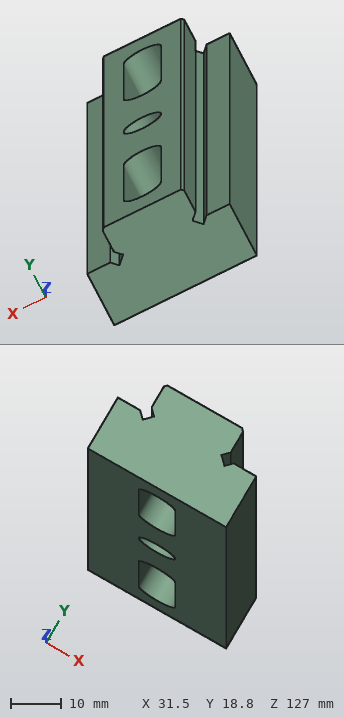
import cadquery as cq

length = 127.0
base_width = 31.5
total_depth = 18.8
tongue_width = 18.0
tongue_height = 7.0
tongue_chamfer = 0.5
groove_width = 2.3
groove_depth = 0.8
hole_diameter = 8.3
slot_length = 33.8
slot_offset = 37.6

shoulder_y = total_depth - tongue_height
cut_depth = 2 * total_depth


def make_rail():
    """T-shaped bar, centred on X and Z, with its flat face at Y = 0."""
    base = cq.Workplane("XY").box(base_width, shoulder_y, length, centered=(True, False, True))
    tongue = (
        cq.Workplane("XY")
        .box(tongue_width, total_depth, length, centered=(True, False, True))
        .faces(">Y")
        .edges("|Z")
        .chamfer(tongue_chamfer)
    )
    return base.union(tongue)


def make_corner_groove(side):
    """Square-bottomed relief along the inner corner on the given side (-1 or 1)."""
    return (
        cq.Workplane("XY")
        .box(groove_width, 2 * groove_depth + groove_width, length)
        .translate((0, groove_width / 2, 0))
        .rotate((0, 0, 0), (0, 0, 1), -side * 45)
        .translate((side * tongue_width / 2, shoulder_y, 0))
    )


def make_face_cuts():
    """Central round hole and a long slot above and below it, all through Y."""
    face = cq.Workplane("XZ", origin=(0, total_depth, 0))
    hole = face.circle(hole_diameter / 2).extrude(cut_depth)
    slots = (
        face.pushPoints([(0, -slot_offset), (0, slot_offset)])
        .slot2D(slot_length, hole_diameter, angle=90)
        .extrude(cut_depth)
    )
    return hole.union(slots)


result = make_rail()
for side in (-1, 1):
    result = result.cut(make_corner_groove(side))
result = result.cut(make_face_cuts())